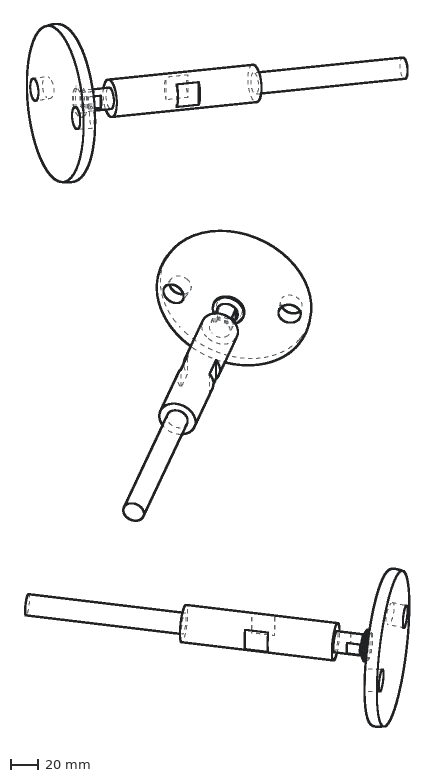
import cadquery as cq
import math


foot_radius = 117.98 / 2
underside_radius = 58.2
draft_height = 4.5
rim_fillet = 3.3
foot_slope = math.radians(9.5)
foot_top_radius = 10.0
foot_height = 17.6

mount_hole_diameter = 16.5
mount_hole_offset = 42.7
mount_hole_reach = 30.0

rod_radius = 16.0 / 2
total_length = 277.0
collar_radius = 12.0
collar_rim_bottom = 19.0
collar_rim_top = 20.6
collar_top = 22.9
neck_flats_width = 13.0
neck_flats_bottom = 23.6
neck_flats_length = 10.0

sleeve_radius = 28.0 / 2
sleeve_bottom = 43.5
sleeve_length = 115.0
sleeve_top = sleeve_bottom + sleeve_length
sleeve_flats_width = 22.0
sleeve_flats_length = 17.5


def revolve_about_y(outline):
    return outline.close().revolve(360, (0, 0, 0), (0, 1, 0))


def cut_flats(body, radius, width, start, length):
    """Cut two parallel flats, facing -X and +X, into a round length of the body."""
    depth = radius - width / 2
    for side in (-1, 1):
        notch = cq.Workplane("XY").box(2 * depth, length, 2 * radius)
        body = body.cut(notch.translate((side * (width / 2 + depth), start + length / 2, 0)))
    return body


def make_foot():
    slope_bottom = foot_height - (foot_radius - foot_top_radius) * math.tan(foot_slope)
    foot = revolve_about_y(
        cq.Workplane("XY")
        .lineTo(underside_radius, 0)
        .lineTo(foot_radius, draft_height)
        .lineTo(foot_radius, slope_bottom)
        .lineTo(foot_top_radius, foot_height)
        .lineTo(0, foot_height)
    )
    widest_edges = foot.edges(cq.selectors.RadiusNthSelector(-1))
    foot = widest_edges.edges(">Y").fillet(rim_fillet)
    for side in (-1, 1):
        axis = cq.Vector(side * math.sin(foot_slope), math.cos(foot_slope), 0)
        start = cq.Vector(side * mount_hole_offset, 0, 0) - axis * (mount_hole_reach / 2)
        hole = cq.Solid.makeCylinder(mount_hole_diameter / 2, mount_hole_reach, start, axis)
        foot = foot.cut(cq.Workplane(hole))
    return foot


def make_spindle():
    spindle = revolve_about_y(
        cq.Workplane("XY")
        .moveTo(0, foot_height)
        .lineTo(foot_top_radius, foot_height)
        .lineTo(collar_radius, collar_rim_bottom)
        .lineTo(collar_radius, collar_rim_top)
        .lineTo(rod_radius, collar_top)
        .lineTo(rod_radius, sleeve_bottom)
        .lineTo(sleeve_radius, sleeve_bottom)
        .lineTo(sleeve_radius, sleeve_top)
        .lineTo(rod_radius, sleeve_top)
        .lineTo(rod_radius, total_length)
        .lineTo(0, total_length)
    )
    spindle = cut_flats(spindle, rod_radius, neck_flats_width, neck_flats_bottom, neck_flats_length)
    sleeve_flats_start = sleeve_bottom + (sleeve_length - sleeve_flats_length) / 2
    return cut_flats(spindle, sleeve_radius, sleeve_flats_width, sleeve_flats_start, sleeve_flats_length)


foot = make_foot()
spindle = make_spindle()

result = cq.Compound.makeCompound([foot.val(), spindle.val()])